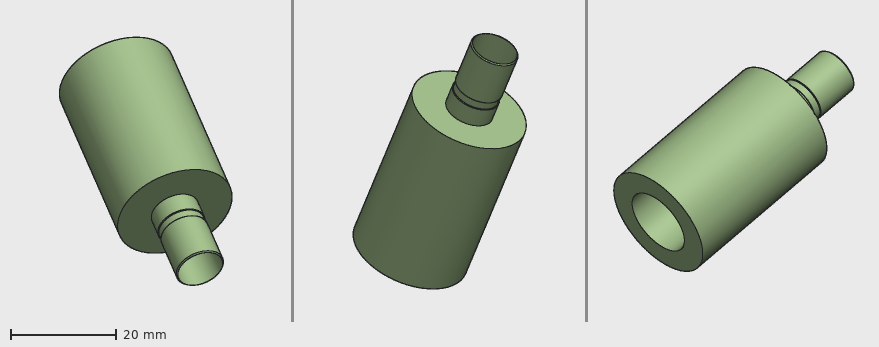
import cadquery as cq

total_length = 50.2
body_diameter = 23.0
body_length = 35.0

wide_bore_diameter = 13.5
narrow_bore_diameter = 9.0
body_wall = (body_diameter - wide_bore_diameter) / 2
wide_bore_depth = body_length - body_wall

spigot_diameter = 9.5
groove_start = 38.9
groove_width = 1.8
groove_depth = 0.15
groove_side_slope = 0.15
tip_chamfer_length = 0.25
tip_chamfer_depth = 0.225

body_radius = body_diameter / 2
wide_bore_radius = wide_bore_diameter / 2
narrow_bore_radius = narrow_bore_diameter / 2
spigot_radius = spigot_diameter / 2
groove_radius = spigot_radius - groove_depth
groove_end = groove_start + groove_width

half_section = (
    cq.Workplane("XY")
    .moveTo(0, wide_bore_radius)
    .lineTo(0, body_radius)
    .lineTo(body_length, body_radius)
    .lineTo(body_length, spigot_radius)
    .lineTo(groove_start, spigot_radius)
    .lineTo(groove_start + groove_side_slope, groove_radius)
    .lineTo(groove_end - groove_side_slope, groove_radius)
    .lineTo(groove_end, spigot_radius)
    .lineTo(total_length - tip_chamfer_length, spigot_radius)
    .lineTo(total_length, spigot_radius - tip_chamfer_depth)
    .lineTo(total_length, narrow_bore_radius)
    .lineTo(wide_bore_depth, narrow_bore_radius)
    .lineTo(wide_bore_depth, wide_bore_radius)
    .close()
)

axis_start = (0, 0, 0)
axis_end = (1, 0, 0)
result = half_section.revolve(360, axis_start, axis_end)